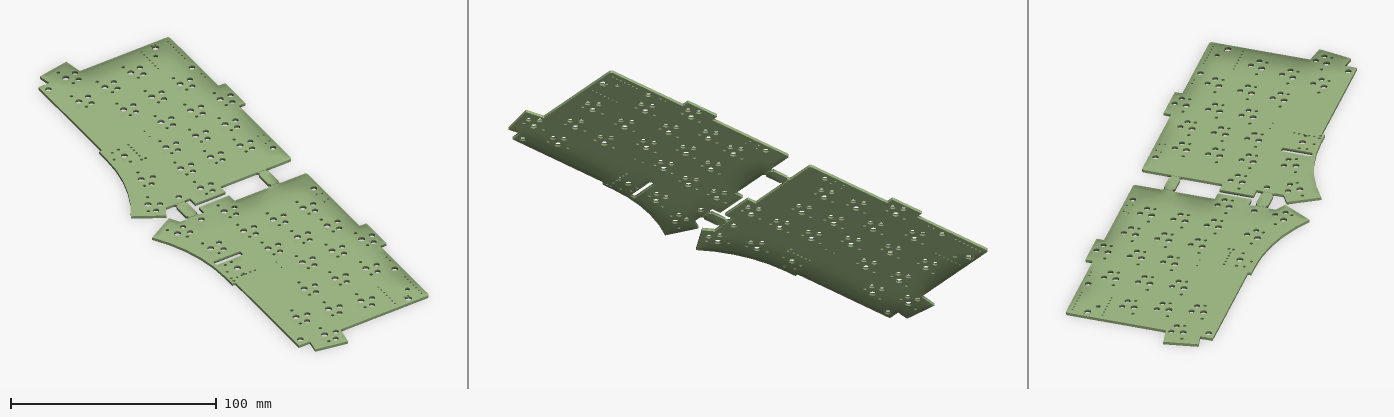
import cadquery as cq
import math

THICKNESS = 1.51
LEFT, RIGHT = -1, 1

PLATE_INNER_X = 6.6
PLATE_OUTER_X = 119.6
PLATE_TOP_Y = 43.3
PLATE_BOTTOM_Y = -31.6
TOP_CORNER_RADIUS = 1.2

KEY_PITCH_X = 18.0
KEY_PITCH_Y = 17.0
KEY_TAB_WIDTH = 18.5
KEY_TAB_DEPTH = 17.3
INNER_COLUMN_X = 10.85
INNER_KEY_Y = -6.6
UPRIGHT_TOP_YS = (27.37, 30.05, 38.5)
ROWS = 3
RING_TOP_KEY = (85.3, 28.2)
RING_ANGLE = 4.0
PINKY_TOP_KEY = (105.58, 12.62)
PINKY_ANGLE = 10.0
OUTER_KEY_RISE = 7.7
THUMB_UPRIGHT = (51.9, -24.65)
THUMB_MIDDLE = (31.95, -27.45)
THUMB_INNER = (13.5, -35.08)
THUMB_ARC_START_X = 54.5
THUMB_MIDDLE_ANGLE = -15.0
THUMB_INNER_ANGLE = -30.0

STEM_DIAMETER = 3.43
SIDE_PEG_DIAMETER = 1.7
SIDE_PEG_OFFSET = 5.5
PIN_OFFSETS = ((0.0, 5.9), (5.0, 3.8))
SOCKET_PIN_DIAMETER = 3.0
SOLDERED_PIN_DIAMETER = 1.5

MOUNT_DIAMETER = 3.2
MOUNTS = ((93.05, 39.9), (18.75, 40.0), (115.7, -28.35), (10.4, -19.3))

CONTROLLER_CENTER = (108.75, 33.1)
HEADER_PITCH = 2.54
CONTROLLER_PINS = 7
CONTROLLER_ROW_SPACING = 15.24
HEADER_DIAMETER = 1.0
CONTROLLER_HOLE_OFFSET = (1.2, 3.5)
CONTROLLER_HOLE_DIAMETER = 2.4

BATTERY_PINS = ((86.5, 41.3), (83.4, 41.3))
BATTERY_PIN_DIAMETER = 1.0
POWER_SWITCH_PINS = ((29.6, 41.3), (24.3, 41.3), (30.4, 38.7), (23.4, 38.7))
POWER_SWITCH_PIN_DIAMETER = 1.0
RESET_PINS = ((62.95, -6.2), (58.1, -6.2))
RESET_PIN_DIAMETER = 1.0

DISPLAY_PINS = 5
DISPLAY_PIN_DIAMETER = 1.25
DISPLAY_FIRST_LEFT = (-58.05, -18.5)
DISPLAY_FIRST_RIGHT = (58.05, -18.5)
POWER_PINS_LEFT = ((-44.8, -16.9), (-44.8, -19.2))
POWER_PINS_RIGHT = ((57.3, -31.55), (59.6, -31.55))
POWER_PIN_DIAMETER = 1.5

SLOT_CENTER = (43.1, -24.5)
SLOT_WIDTH = 3.2
SLOT_LENGTH = 15.6
SLOT_CORNER_RADIUS = 0.8

REAR_HOLE_Y = 33.15
REAR_HOLE_XS = {LEFT: -115.65, RIGHT: 116.4}
REAR_HOLE_DIAMETER = 3.43
REAR_PIN_OFFSET = 1.95
REAR_PIN_SPACING = 2.0
REAR_PIN_DIAMETER = 1.0

BRIDGES = ((25.8, 5.6), (-21.3, 6.2))
RELIEF_X = 5.2
RELIEF_DIAMETER = 1.7
BITE_X = 6.1
BITE_DIAMETER = 0.5
BITE_PITCH = 0.75


def turn(point, angle):
    """Turn a point about the origin, counterclockwise, by an angle in degrees."""
    x, y = point
    cosine = math.cos(math.radians(angle))
    sine = math.sin(math.radians(angle))
    return (x * cosine - y * sine, x * sine + y * cosine)


def add(a, b):
    return (a[0] + b[0], a[1] + b[1])


def on_side(side, point):
    """Place a point given by its distance from the middle of the panel."""
    return (side * point[0], point[1])


def slanted_column(top, angle):
    """Keys of a left-plate column that leans by an angle, from the top one down."""
    start = on_side(LEFT, top)
    return [(add(start, turn((0, -row * KEY_PITCH_Y), angle)), angle) for row in range(ROWS)]


def left_socket_keys():
    """Centre and angle of every left-plate key with socketed pins, the outermost key last."""
    keys = [((-INNER_COLUMN_X, INNER_KEY_Y), 0)]
    for column, top_y in enumerate(UPRIGHT_TOP_YS, start=1):
        keys += slanted_column((INNER_COLUMN_X + column * KEY_PITCH_X, top_y), 0)
    keys += slanted_column(RING_TOP_KEY, RING_ANGLE)
    keys.append((on_side(LEFT, THUMB_MIDDLE), THUMB_MIDDLE_ANGLE))
    keys.append((on_side(LEFT, THUMB_INNER), THUMB_INNER_ANGLE))
    keys += slanted_column(PINKY_TOP_KEY, PINKY_ANGLE)
    lowest_pinky = keys[-1][0]
    keys.append((add(lowest_pinky, turn((-KEY_PITCH_X, OUTER_KEY_RISE), PINKY_ANGLE)), PINKY_ANGLE))
    return keys


def key_corner(center, angle, x_sign, y_sign):
    return add(center, turn((x_sign * KEY_TAB_WIDTH / 2, y_sign * KEY_TAB_DEPTH / 2), angle))


def slab(sketch):
    return sketch.close().extrude(THICKNESS)


def key_tab(center, angle):
    signs = ((-1, -1), (1, -1), (1, 1), (-1, 1))
    return slab(cq.Workplane().polyline([key_corner(center, angle, *s) for s in signs]))


def thumb_fan():
    """Area under the left thumb keys, its lower edge curving from level to the innermost key."""
    upright = on_side(LEFT, THUMB_UPRIGHT)
    inner = on_side(LEFT, THUMB_INNER)
    upright_corner = key_corner(upright, 0, -1, -1)
    return slab(
        cq.Workplane()
        .moveTo(*key_corner(upright, 0, -1, 1))
        .lineTo(*upright_corner)
        .lineTo(-THUMB_ARC_START_X, upright_corner[1])
        .tangentArcPoint(key_corner(inner, THUMB_INNER_ANGLE, 1, -1), relative=False)
        .lineTo(*key_corner(inner, THUMB_INNER_ANGLE, 1, 1))
        .lineTo(*key_corner(inner, THUMB_INNER_ANGLE, -1, 1))
    )


def left_plate(socket_keys):
    width = PLATE_OUTER_X - PLATE_INNER_X
    plate = (
        cq.Workplane()
        .box(width, PLATE_TOP_Y - PLATE_BOTTOM_Y, THICKNESS, centered=False)
        .edges("|Z and >Y")
        .fillet(TOP_CORNER_RADIUS)
        .translate((-PLATE_OUTER_X, PLATE_BOTTOM_Y, 0))
    )
    inner_key = socket_keys[0]
    highest_key = max(socket_keys, key=lambda key: key[0][1])
    outermost_key = socket_keys[-1]
    for key in (inner_key, highest_key, outermost_key):
        plate = plate.union(key_tab(*key))
    return plate.union(thumb_fan())


def bridge(center_y, width):
    """Bar between the plates with a round relief notch at each corner."""
    bar = cq.Workplane().box(2 * PLATE_INNER_X, width, THICKNESS, centered=(True, True, False))
    notches = (
        cq.Workplane()
        .rarray(2 * RELIEF_X, width, 2, 2)
        .circle(RELIEF_DIAMETER / 2)
        .extrude(THICKNESS)
    )
    return bar.cut(notches).translate((0, center_y, 0))


def drills(points, diameter):
    return cq.Workplane().pushPoints(points).circle(diameter / 2).extrude(THICKNESS).vals()


def switch_drills(center, angle, pin_diameter):
    def placed(offsets):
        return [add(center, turn(offset, angle)) for offset in offsets]

    return (
        drills([center], STEM_DIAMETER)
        + drills(placed([(-SIDE_PEG_OFFSET, 0), (SIDE_PEG_OFFSET, 0)]), SIDE_PEG_DIAMETER)
        + drills(placed(PIN_OFFSETS), pin_diameter)
    )


def key_drills(side, socket_keys):
    """Key positions are mirrored between the plates, but the switch footprint is not."""
    tools = []
    for center, angle in socket_keys:
        mirrored = (-side * center[0], center[1])
        tools += switch_drills(mirrored, -side * angle, SOCKET_PIN_DIAMETER)
    return tools + switch_drills(on_side(side, THUMB_UPRIGHT), 180, SOLDERED_PIN_DIAMETER)


def controller_drills(side):
    center = on_side(side, CONTROLLER_CENTER)
    pins = (
        cq.Workplane()
        .center(*center)
        .rarray(HEADER_PITCH, CONTROLLER_ROW_SPACING, CONTROLLER_PINS, 2)
        .circle(HEADER_DIAMETER / 2)
        .extrude(THICKNESS)
        .vals()
    )
    dx, dy = CONTROLLER_HOLE_OFFSET
    return pins + drills([add(center, (side * dx, side * dy))], CONTROLLER_HOLE_DIAMETER)


def shared_drills(side):
    groups = (
        (MOUNTS, MOUNT_DIAMETER),
        (BATTERY_PINS, BATTERY_PIN_DIAMETER),
        (POWER_SWITCH_PINS, POWER_SWITCH_PIN_DIAMETER),
        (RESET_PINS, RESET_PIN_DIAMETER),
    )
    tools = []
    for points, diameter in groups:
        tools += drills([on_side(side, point) for point in points], diameter)
    return tools


def rear_drills(side):
    x = REAR_HOLE_XS[side]
    pins = [
        (x - REAR_PIN_OFFSET, REAR_HOLE_Y + sign * REAR_PIN_SPACING / 2) for sign in (-1, 1)
    ]
    return drills([(x, REAR_HOLE_Y)], REAR_HOLE_DIAMETER) + drills(pins, REAR_PIN_DIAMETER)


def module_drills():
    steps = [i * HEADER_PITCH for i in range(DISPLAY_PINS)]
    left = [add(DISPLAY_FIRST_LEFT, (step, 0)) for step in steps]
    right = [add(DISPLAY_FIRST_RIGHT, (0, -step)) for step in steps]
    power = POWER_PINS_LEFT + POWER_PINS_RIGHT
    return drills(left + right, DISPLAY_PIN_DIAMETER) + drills(power, POWER_PIN_DIAMETER)


def slot_drill():
    slot = cq.Workplane().center(*SLOT_CENTER).rect(SLOT_WIDTH, SLOT_LENGTH).extrude(THICKNESS)
    return slot.edges("|Z").fillet(SLOT_CORNER_RADIUS).vals()


def bite_drills(center_y, width):
    count = math.floor(width / BITE_PITCH) + 1
    ys = [center_y + (i - (count - 1) / 2) * BITE_PITCH for i in range(count)]
    return drills([(side * BITE_X, y) for side in (LEFT, RIGHT) for y in ys], BITE_DIAMETER)


socket_keys = left_socket_keys()
plate = left_plate(socket_keys)
panel = plate.union(plate.mirror("YZ"))
tools = module_drills() + slot_drill()
for center_y, width in BRIDGES:
    panel = panel.union(bridge(center_y, width))
    tools += bite_drills(center_y, width)
for side in (LEFT, RIGHT):
    tools += key_drills(side, socket_keys) + controller_drills(side) + shared_drills(side)
    tools += rear_drills(side)
result = cq.Workplane(panel.val().cut(*tools).Solids()[0])